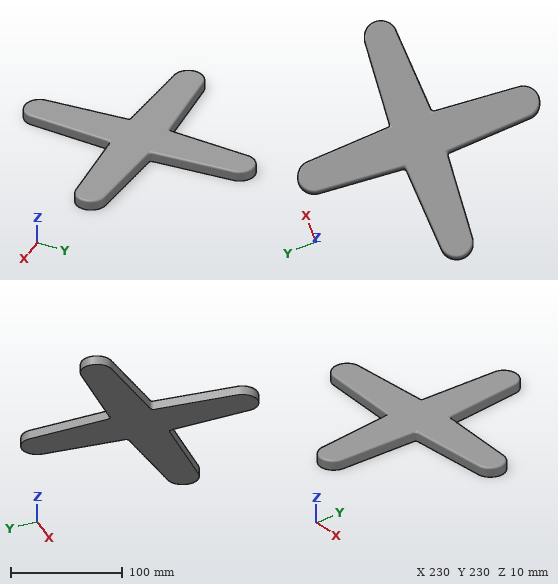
import cadquery as cq

span = 230.0
thickness = 10.0
tip_radius = 15.0
root_half_width = 20.0
corner_radius = 3.0
edge_radius = 2.0
arm_count = 4

tip_reach = span / 2
tip_center = tip_reach - tip_radius


def arm():
    """One tapered arm along +X, running from the center to its round tip."""
    return (
        cq.Workplane("XY")
        .moveTo(0, 0)
        .lineTo(root_half_width, -root_half_width)
        .lineTo(tip_center, -tip_radius)
        .threePointArc((tip_reach, 0), (tip_center, tip_radius))
        .lineTo(root_half_width, root_half_width)
        .close()
        .extrude(thickness)
    )


def cross():
    """Arms spaced evenly about the Z axis and joined into one plate."""
    body = arm()
    for index in range(1, arm_count):
        angle = index * 360 / arm_count
        body = body.union(arm().rotate((0, 0, 0), (0, 0, 1), angle))
    return body.clean()


def round_inner_corners(body):
    """Fillet the upright edges where neighbouring arms meet."""
    corner_box = cq.selectors.BoxSelector(
        (-tip_center / 2, -tip_center / 2, 0),
        (tip_center / 2, tip_center / 2, thickness),
    )
    return body.edges("|Z").edges(corner_box).fillet(corner_radius)


def round_upper_rim(body):
    """Fillet the whole outline of the top face."""
    return body.faces(">Z").edges().fillet(edge_radius)


result = round_inner_corners(round_upper_rim(cross()))